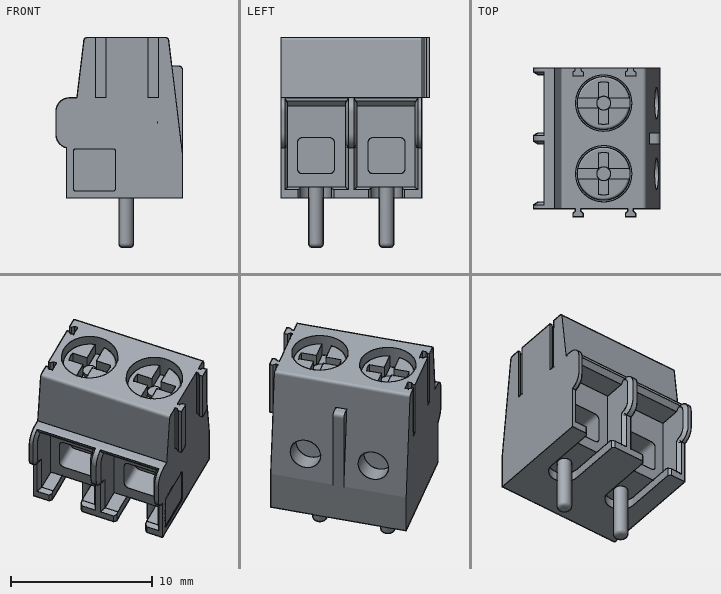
import cadquery as cq
import math

body_length = 8.25
body_width = 10.0
body_height = 11.4
pole_offset = 2.5
pole_x = 4.25
step_height = 7.12
tower_base_x = 0.75
tower_front_x = 1.27
tower_back_x = 7.24
back_bend_height = 2.98
tower_edge_radius = 0.24

nose_overhang = 0.75
nose_radius = 1.0
nose_flat_height = 1.6
chamber_back_x = 1.94
chamber_floor = 0.77
chamber_ceiling = 6.53
mouth_floor = 0.6
mouth_ceiling = 6.88
end_web_thickness = 0.28
middle_web_thickness = 0.39
flare_width = 0.21
flare_depth = 0.35
window_width = 2.64
window_bottom = 1.73
window_top = 4.29
window_radius = 0.37
window_depth = 1.94

pin_radius = 0.52
pin_length = 3.5
pin_tip_radius = 0.27
slot_width = 2.24
slot_mouth_chamfer = 0.16

well_radius = 2.0
well_depth = 1.79
screw_recess = 0.58
screw_radius = 1.88
screw_edge_radius = 0.16
drive_width = 0.72
drive_depth = 1.06
short_drive_radius = 1.5
drive_boss_radius = 0.49
drive_boss_height = 0.25

fin_width = 0.8
fin_height = 9.37
fin_radius = 0.3
test_hole_radius = 1.12
test_hole_height = 5.13
test_hole_depth = 1.49

key_centres = (2.43, 6.15)
key_head_width = 0.75
key_neck_width = 0.4
key_neck_length = 0.15
key_projection = 0.57

panel_size = 3.0
panel_centre = (2.0, 2.0)
panel_radius = 0.18
panel_depth = 0.07

half_width = body_width / 2
pole_positions = (-pole_offset, pole_offset)
upper_nose_z = step_height - nose_radius
lower_nose_z = upper_nose_z - nose_flat_height
nose_centre_x = nose_radius - nose_overhang
nose_wall_rise = math.sqrt(nose_radius**2 - nose_centre_x**2)
wall_top_z = upper_nose_z + nose_wall_rise


def nose_point(centre_z, degrees):
    """Point on a nose arc, the angle being measured from +X towards +Z."""
    angle = math.radians(degrees)
    return (nose_centre_x + nose_radius * math.cos(angle), centre_z + nose_radius * math.sin(angle))


def side_plane(y):
    """Sketch plane with local axes X and Z, extruding towards -Y."""
    return cq.Workplane("XZ", origin=(0, y, 0))


def make_housing():
    wall_angle = math.degrees(math.acos(-nose_centre_x / nose_radius))
    outline = (
        side_plane(half_width)
        .moveTo(0, 0)
        .lineTo(body_length, 0)
        .lineTo(body_length, back_bend_height)
        .lineTo(tower_back_x, body_height)
        .lineTo(tower_front_x, body_height)
        .lineTo(tower_base_x, step_height)
        .lineTo(nose_centre_x, step_height)
        .threePointArc(nose_point(upper_nose_z, (90 + wall_angle) / 2), (0, wall_top_z))
        .close()
    )
    housing = outline.extrude(body_width)
    return housing.faces(">Z").edges("|Y").fillet(tower_edge_radius)


def make_chambers():
    mouth = [
        (0, mouth_floor),
        (flare_depth, chamber_floor),
        (chamber_back_x, chamber_floor),
        (chamber_back_x, chamber_ceiling),
        (flare_depth, chamber_ceiling),
        (0, mouth_ceiling),
    ]
    return side_plane(half_width).polyline(mouth).close().extrude(body_width)


def web_outline(y):
    wall_angle = 180 + math.degrees(math.acos(nose_centre_x / nose_radius))
    root_x = chamber_back_x + 2 * flare_depth
    return (
        side_plane(y)
        .moveTo(0, 0)
        .lineTo(root_x, 0)
        .lineTo(root_x, step_height)
        .lineTo(nose_centre_x, step_height)
        .threePointArc(nose_point(upper_nose_z, 135), (-nose_overhang, upper_nose_z))
        .lineTo(-nose_overhang, lower_nose_z)
        .threePointArc(nose_point(lower_nose_z, (180 + wall_angle) / 2), (0, lower_nose_z - nose_wall_rise))
        .close()
    )


def make_webs():
    """Two end webs and a middle web, each thickening towards its root."""
    taper = math.degrees(math.atan2(flare_depth, flare_width))
    end_face = half_width - end_web_thickness
    middle_face = middle_web_thickness / 2
    end_web = web_outline(half_width).extrude(end_web_thickness)
    end_web = end_web.union(web_outline(end_face).extrude(flare_width, taper=taper))
    half_middle = web_outline(0).extrude(middle_face)
    half_middle = half_middle.union(web_outline(-middle_face).extrude(flare_width, taper=taper))
    half = end_web.union(half_middle.mirror("XZ"))
    return half.union(half.mirror("XZ"))


def make_window(y):
    height = window_top - window_bottom
    window = cq.Workplane("XY").box(window_depth, window_width, height, centered=(False, True, False))
    window = window.edges("|X").fillet(window_radius)
    return window.translate((chamber_back_x, y, window_bottom))


def make_pin_slot(y):
    """Slot in the chamber floor, round behind the pin and widened at its front."""
    half_slot = slot_width / 2
    half_mouth = half_slot + slot_mouth_chamfer
    return (
        cq.Workplane("XY", origin=(0, y, 0))
        .moveTo(0, -half_mouth)
        .lineTo(slot_mouth_chamfer, -half_slot)
        .lineTo(pole_x, -half_slot)
        .threePointArc((pole_x + half_slot, 0), (pole_x, half_slot))
        .lineTo(slot_mouth_chamfer, half_slot)
        .lineTo(0, half_mouth)
        .close()
        .extrude(chamber_floor)
    )


def make_pin(y):
    pin = cq.Workplane("XY", origin=(pole_x, y, -pin_length)).circle(pin_radius)
    pin = pin.extrude(pin_length + chamber_floor)
    return pin.faces("<Z").edges().fillet(pin_tip_radius)


def make_screw_head():
    """Screw head with a cross drive and a low round boss in the middle of it."""
    head = cq.Workplane("XY").circle(screw_radius).extrude(screw_recess - well_depth)
    head = head.faces(">Z").edges().fillet(screw_edge_radius)
    drive = cq.Workplane("XY").rect(drive_width, 2 * well_radius).extrude(-drive_depth)
    drive = drive.intersect(cq.Workplane("XY").circle(short_drive_radius).extrude(-drive_depth))
    drive = drive.union(cq.Workplane("XY").rect(2 * well_radius, drive_width).extrude(-drive_depth))
    boss = cq.Workplane("XY", origin=(0, 0, -drive_depth))
    boss = boss.circle(drive_boss_radius).extrude(drive_boss_height)
    return head.cut(drive.cut(boss))


def make_screw_well(y):
    """Round well with the screw head standing in it, to be cut from the top."""
    well = cq.Workplane("XY").circle(well_radius).extrude(-well_depth)
    well = well.cut(make_screw_head().translate((0, 0, -screw_recess)))
    return well.translate((pole_x, y, body_height))


def make_fin():
    fin_length = body_length - pole_x
    fin = cq.Workplane("XY").box(fin_length, fin_width, fin_height, centered=(False, True, False))
    fin = fin.translate((pole_x, 0, 0))
    return fin.edges(">X and >Z").edges("|Y").fillet(fin_radius)


def make_test_hole(y):
    """Blind hole square to the leaning back wall."""
    lean = (body_length - tower_back_x) / (body_height - back_bend_height)
    face_x = body_length - lean * (test_hole_height - back_bend_height)
    outward = cq.Vector(1, 0, lean)
    plane = cq.Plane(origin=(face_x, y, test_hole_height), xDir=(0, 1, 0), normal=outward)
    return cq.Workplane(plane).circle(test_hole_radius).extrude(-test_hole_depth)


def make_key(x, y):
    """Dovetail key reaching from the side face at y towards -Y, from the ledge to the top."""
    half_neck = key_neck_width / 2
    half_head = key_head_width / 2
    shoulder = key_neck_length + half_head - half_neck
    right_side = [
        (half_neck, 0),
        (half_neck, -key_neck_length),
        (half_head, -shoulder),
        (half_head, -key_projection),
    ]
    left_side = [(-px, py) for px, py in reversed(right_side)]
    key = cq.Workplane("XY", origin=(x, y, step_height)).polyline(right_side + left_side).close()
    return key.extrude(body_height - step_height)


def make_panel():
    panel = side_plane(panel_depth - half_width).center(*panel_centre).rect(panel_size, panel_size)
    return panel.extrude(panel_depth).edges("|Y").fillet(panel_radius)


result = make_housing().cut(make_chambers()).union(make_webs())
result = result.union(make_fin())
for pole_y in pole_positions:
    result = result.cut(make_window(pole_y)).cut(make_pin_slot(pole_y)).cut(make_test_hole(pole_y))
    result = result.cut(make_screw_well(pole_y))
    result = result.union(make_pin(pole_y))
for key_x in key_centres:
    result = result.union(make_key(key_x, -half_width)).cut(make_key(key_x, half_width))
result = result.cut(make_panel())